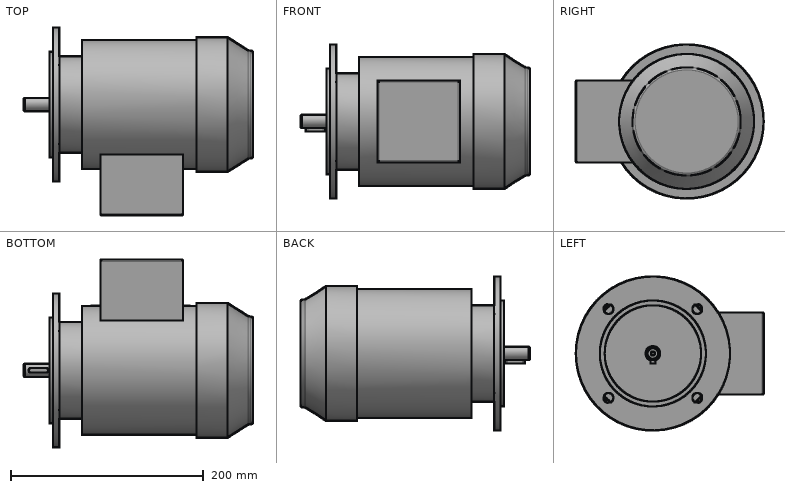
import cadquery as cq

total_length = 238.0
shaft_length = 27.0
pilot_height = 3.5
flange_thickness = 7.0
neck_length = 23.0
body_length = 118.8
cover_length = 32.1
cone_length = 22.0

pilot_x = shaft_length
flange_x = pilot_x + pilot_height
neck_x = flange_x + flange_thickness
body_x = neck_x + neck_length
cover_x = body_x + body_length
cone_x = cover_x + cover_length
end_cap_x = cone_x + cone_length

shaft_diameter = 14.0
shaft_chamfer = 1.5
collar_diameter = 15.0
collar_height = 2.9
center_hole_diameter = 4.0
center_hole_depth = 4.8
pilot_diameter = 110.0
recess_diameter = 100.0
recess_depth = 5.0
flange_diameter = 160.0
neck_diameter = 100.5
body_diameter = 134.0
cover_diameter = 140.0
end_cap_diameter = 112.0
end_cap_fillet = 2.5
cone_blend_radius = 2.5

bolt_circle_diameter = 130.0
bolt_hole_diameter = 10.0
bolt_hole_count = 4
first_bolt_angle = 45

key_start_x = 5.5
key_length = 20.2
key_width = 5.0
key_reach = 10.5

box_start_x = 79.7
box_length = 85.7
box_height = 85.2
box_reach = 115.0
lid_fillet = 2.0


def cylinder(start_x, length, diameter):
    """Solid cylinder on the motor axis, running toward +X."""
    return cq.Workplane("YZ", origin=(start_x, 0, 0)).circle(diameter / 2).extrude(length)


def make_shaft():
    """Chamfered shaft with a collar where it leaves the pilot recess."""
    shaft = cylinder(0, neck_x, shaft_diameter).faces("<X").chamfer(shaft_chamfer)
    collar_x = pilot_x + recess_depth - collar_height
    collar = cylinder(collar_x, collar_height, collar_diameter)
    center_hole = cylinder(0, center_hole_depth, center_hole_diameter)
    return shaft.union(collar).cut(center_hole)


def make_key():
    """Round-ended key reaching from the shaft axis toward -Z."""
    middle_x = key_start_x + key_length / 2
    return (
        cq.Workplane("XY", origin=(middle_x, 0, -key_reach))
        .slot2D(key_length, key_width)
        .extrude(key_reach)
    )


def make_flange():
    """Mounting flange with a hollow pilot ring and bolt holes."""
    pilot = cylinder(pilot_x, pilot_height, pilot_diameter)
    flange = cylinder(flange_x, flange_thickness, flange_diameter).union(pilot)
    flange = flange.cut(cylinder(pilot_x, recess_depth, recess_diameter))
    bolt_holes = (
        cq.Workplane("YZ", origin=(flange_x, 0, 0))
        .polarArray(bolt_circle_diameter / 2, first_bolt_angle, 360, bolt_hole_count)
        .circle(bolt_hole_diameter / 2)
        .extrude(flange_thickness)
    )
    return flange.cut(bolt_holes)


def make_housing():
    """Neck, body, fan cover, cone and rounded end cap as one revolved outline."""
    cap_radius = end_cap_diameter / 2
    outline = [
        (neck_x, 0),
        (neck_x, neck_diameter / 2),
        (body_x, neck_diameter / 2),
        (body_x, body_diameter / 2),
        (cover_x, body_diameter / 2),
        (cover_x, cover_diameter / 2),
        (cone_x, cover_diameter / 2),
        (end_cap_x, cap_radius),
        (total_length, cap_radius),
        (total_length, 0),
    ]
    housing = cq.Workplane("XY").polyline(outline).close().revolve(360, (0, 0, 0), (1, 0, 0))
    housing = housing.faces("%CONE").edges(">X").fillet(cone_blend_radius)
    return housing.faces(">X").edges().fillet(end_cap_fillet)


def make_terminal_box():
    """Rectangular box reaching from the axis to -Y, rounded around its lid."""
    return (
        cq.Workplane("XY")
        .box(box_length, box_reach, box_height, centered=(False, False, True))
        .translate((box_start_x, -box_reach, 0))
        .faces("<Y")
        .edges()
        .fillet(lid_fillet)
    )


result = make_housing().union(make_flange()).union(make_shaft())
result = result.union(make_key()).union(make_terminal_box())